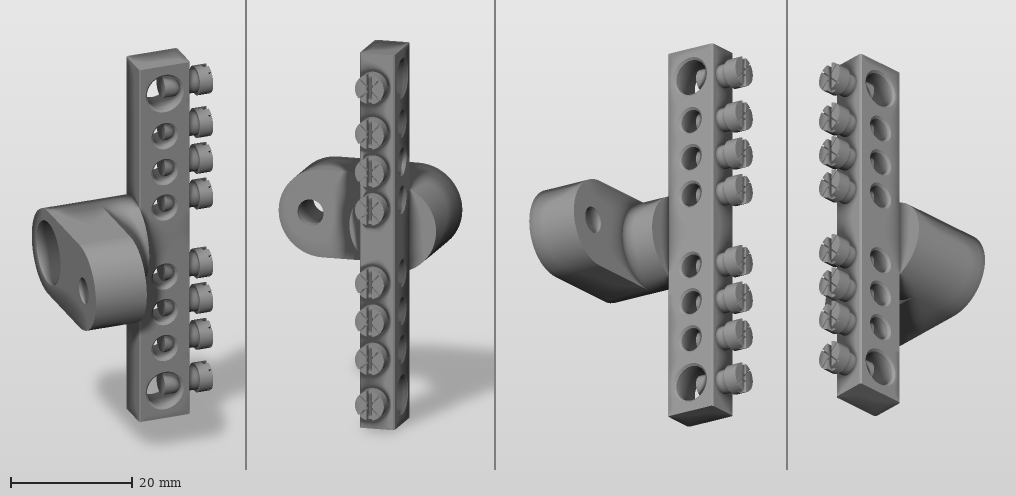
import cadquery as cq

BAR_LENGTH = 64.0
BAR_WIDTH = 6.0
BAR_DEPTH = 9.0
BAR_EDGE_CHAMFER = 0.25

SMALL_HOLE_HEIGHTS = (6.3, 12.75, 19.25)
SMALL_HOLE_DIAMETER = 4.0
LARGE_HOLE_HEIGHT = 27.0
LARGE_HOLE_DIAMETER = 6.0
HOLE_CHAMFER = 0.4

SHANK_DIAMETER = 4.0
SHANK_GRIP = 4.0
SHANK_EXPOSED = 2.0
HEAD_DIAMETER = 5.0
HEAD_THICKNESS = 2.3
SLOT_WIDTH = 0.95
SLOT_DEPTH = 1.0
CROSS_SLOT_WIDTH = 0.25
CROSS_SLOT_DEPTH = 0.5

CUP_DIAMETER = 15.0
CUP_LENGTH = 15.0
CUP_BORE_DIAMETER = 11.0
CUP_WALL = (CUP_DIAMETER - CUP_BORE_DIAMETER) / 2
LUG_THICKNESS = 9.0
LUG_REACH = 14.0
LUG_HOLE_DIAMETER = 4.5
LUG_HOLE_REACH = 16.0

hole_middle_y = BAR_DEPTH / 2
positive_heights = (*SMALL_HOLE_HEIGHTS, LARGE_HOLE_HEIGHT)
screw_heights = [side * height for side in (-1, 1) for height in positive_heights]


def cylinder_along_y(diameter, start_y, length, x=0.0, z=0.0):
    """Cylinder running from start_y toward +Y."""
    return cq.Workplane(
        cq.Solid.makeCylinder(diameter / 2, length, cq.Vector(x, start_y, z), cq.Vector(0, 1, 0))
    )


def make_wire_hole(diameter, z):
    """Cutter across the bar along X, flared by a chamfer at both ends."""
    half_width = BAR_WIDTH / 2
    radius = diameter / 2
    flared_radius = radius + HOLE_CHAMFER
    profile = [
        (-half_width, 0),
        (-half_width, flared_radius),
        (-half_width + HOLE_CHAMFER, radius),
        (half_width - HOLE_CHAMFER, radius),
        (half_width, flared_radius),
        (half_width, 0),
    ]
    cutter = cq.Workplane("XY").polyline(profile).close().revolve(360, (0, 0, 0), (1, 0, 0))
    return cutter.translate((0, hole_middle_y, z))


def make_bar():
    bar = cq.Workplane("XY").box(BAR_WIDTH, BAR_DEPTH, BAR_LENGTH).translate((0, hole_middle_y, 0))
    bar = bar.edges("|Z").chamfer(BAR_EDGE_CHAMFER)
    for side in (-1, 1):
        for height in SMALL_HOLE_HEIGHTS:
            bar = bar.cut(make_wire_hole(SMALL_HOLE_DIAMETER, side * height))
        bar = bar.cut(make_wire_hole(LARGE_HOLE_DIAMETER, side * LARGE_HOLE_HEIGHT))
    for z in screw_heights:
        bar = bar.cut(cylinder_along_y(SHANK_DIAMETER, BAR_DEPTH - SHANK_GRIP, SHANK_GRIP, z=z))
    return bar


def make_head_slot(width, depth, angle):
    """Cutter right across a screw head whose end face is on Y = 0, turned by angle from Z."""
    slot = cq.Workplane("XY").box(width, depth, HEAD_DIAMETER).translate((0, -depth / 2, 0))
    return slot.rotate((0, 0, 0), (0, 1, 0), angle)


def make_screw(z):
    head_y = BAR_DEPTH + SHANK_EXPOSED
    shank = cylinder_along_y(SHANK_DIAMETER, BAR_DEPTH - SHANK_GRIP, SHANK_GRIP + SHANK_EXPOSED, z=z)
    head = cylinder_along_y(HEAD_DIAMETER, head_y, HEAD_THICKNESS, z=z)
    screw = shank.union(head)
    slots = [
        make_head_slot(SLOT_WIDTH, SLOT_DEPTH, 0),
        make_head_slot(CROSS_SLOT_WIDTH, CROSS_SLOT_DEPTH, 45),
        make_head_slot(CROSS_SLOT_WIDTH, CROSS_SLOT_DEPTH, -45),
    ]
    for slot in slots:
        screw = screw.cut(slot.translate((0, head_y + HEAD_THICKNESS, z)))
    return screw


def make_holder():
    front_y = -CUP_LENGTH
    cup = cylinder_along_y(CUP_DIAMETER, front_y, CUP_LENGTH)
    lug_web = cq.Workplane("XY").box(LUG_REACH, LUG_THICKNESS, CUP_DIAMETER)
    lug_web = lug_web.translate((LUG_REACH / 2, front_y + LUG_THICKNESS / 2, 0))
    lug_end = cylinder_along_y(CUP_DIAMETER, front_y, LUG_THICKNESS, x=LUG_REACH)
    bore = cylinder_along_y(CUP_BORE_DIAMETER, front_y, CUP_LENGTH - CUP_WALL)
    lug_hole = cylinder_along_y(LUG_HOLE_DIAMETER, front_y, LUG_THICKNESS, x=LUG_HOLE_REACH)
    return cup.union(lug_web).union(lug_end).cut(bore).cut(lug_hole)


bar = make_bar()
holder = make_holder()
screws = [make_screw(z) for z in screw_heights]

result = cq.Compound.makeCompound([bar.val(), holder.val(), *[screw.val() for screw in screws]])